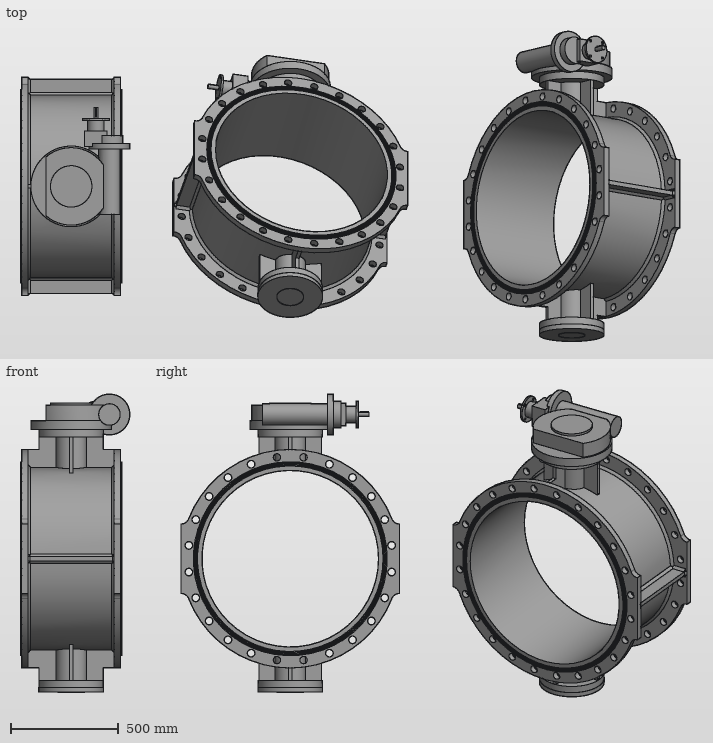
import cadquery as cq
import math


bore_dia = 819.0
barrel_wall = 15.0
barrel_radius = bore_dia / 2 + barrel_wall
weld_leg = 12.0

flange_radius = 507.5
flange_outer_x = 230.0
flange_thickness = 30.0
flange_inner_x = flange_outer_x - flange_thickness
ear_half_height = 162.0
ear_notch_radius = 35.0
bolt_count = 24
bolt_hole_dia = 34.0
bolt_circle_radius = 475.0

face_height = 5.0
face_dia = 901.0
groove_count = 2
groove_width = 4.9
groove_pitch = 2 * groove_width
groove_depth = 2.0

side_rib_thickness = 20.0
side_rib_radius = 498.5
rib_edge_weld = 8.0

trunnion_dia = 144.0
trunnion_length = 566.0
cross_rib_thickness = 17.0
cross_rib_half_width_x = 150.0
cross_rib_half_width_y = 146.0
cross_rib_root = 398.0
mount_dia = 300.0

bottom_mount_z = -598.0
bottom_cover_z = -620.0
bottom_z = -622.42
cover_dia = 302.0
end_plate_dia = 125.0

top_mount_z = 600.0
gear_base_dia = 375.0
gear_base_top = 641.0
gear_body_radius = 180.0
gear_body_left = -117.0
gear_body_right = 150.7
gear_body_top = 713.0
gear_cap_dia = 192.5
gear_cap_top = 724.0

worm_x = 177.8
worm_z = 670.0
worm_dia = 100.0
worm_start_y = -130.0
worm_disc_dia = 190.0
worm_disc_start_y = 173.0
worm_disc_end_y = 200.0
worm_end_boss_dia = 125.0
worm_end_boss_y = 236.0

input_x = 115.0
input_box_size = 105.0
input_box_start_y = 186.0
input_box_end_y = 258.0
input_neck_dia = 77.0
input_flange_dia = 125.0
input_flange_start_y = 306.5
input_flange_end_y = 316.0
input_bolt_dia = 10.5
input_bolt_circle_dia = 102.0
input_bolt_count = 4
shaft_dia = 20.0
shaft_end_y = 366.0
key_width = 6.0
key_start_y = 323.0
key_end_y = 364.0
key_top_height = 13.0


def box_between(x_range, y_range, z_range):
    lows, highs = zip(x_range, y_range, z_range)
    sizes = [high - low for low, high in zip(lows, highs)]
    return cq.Workplane("XY").box(*sizes, centered=False).translate(lows)


def cylinder_x(radius, start_x, end_x):
    return cq.Workplane("YZ", origin=(start_x, 0, 0)).circle(radius).extrude(end_x - start_x)


def cylinder_y(x, z, diameter, start_y, end_y):
    plane = cq.Workplane("XZ", origin=(x, start_y, z))
    return plane.circle(diameter / 2).extrude(start_y - end_y)


def cylinder_z(diameter, start_z, end_z):
    return cq.Workplane("XY", origin=(0, 0, start_z)).circle(diameter / 2).extrude(end_z - start_z)


def make_barrel():
    """Barrel with a conical weld bead against each flange, turned about X."""
    bead_start = flange_inner_x - weld_leg
    bead_radius = barrel_radius + weld_leg
    profile = [
        (-flange_inner_x, 0),
        (-flange_inner_x, bead_radius),
        (-bead_start, barrel_radius),
        (bead_start, barrel_radius),
        (flange_inner_x, bead_radius),
        (flange_inner_x, 0),
    ]
    return cq.Workplane("XY").polyline(profile).close().revolve(360, (0, 0, 0), (1, 0, 0))


def make_flange():
    """Right-hand flange: round plate with flat-sided ears, raised face and bolt holes."""
    plate = cylinder_x(flange_radius, flange_inner_x, flange_outer_x)

    notch_z = ear_half_height + ear_notch_radius
    notch_reach = flange_radius + ear_notch_radius
    notch_y = math.sqrt(notch_reach**2 - notch_z**2)
    ear_top = flange_radius * notch_z / notch_reach
    ears = box_between(
        (flange_inner_x, flange_outer_x), (-flange_radius, flange_radius), (-ear_top, ear_top)
    )
    notch_centers = [(y, z) for y in (-notch_y, notch_y) for z in (-notch_z, notch_z)]
    notches = (
        cq.Workplane("YZ", origin=(flange_inner_x, 0, 0))
        .pushPoints(notch_centers)
        .circle(ear_notch_radius)
        .extrude(flange_thickness)
    )
    plate = plate.union(ears.cut(notches))

    face_x = flange_outer_x + face_height
    plate = plate.union(cylinder_x(face_dia / 2, flange_outer_x, face_x))
    for index in range(groove_count):
        outer_radius = face_dia / 2 - groove_width - index * groove_pitch
        groove = (
            cq.Workplane("YZ", origin=(face_x - groove_depth, 0, 0))
            .circle(outer_radius)
            .circle(outer_radius - groove_width)
            .extrude(groove_depth)
        )
        plate = plate.cut(groove)

    half_step = 180.0 / bolt_count
    holes = (
        cq.Workplane("YZ", origin=(flange_inner_x, 0, 0))
        .polarArray(bolt_circle_radius, half_step, 360, bolt_count)
        .circle(bolt_hole_dia / 2)
        .extrude(flange_thickness)
    )
    return plate.cut(holes)


def make_side_rib():
    """Rib on the +Y side with weld beads along the barrel and both flanges."""
    half = side_rib_thickness / 2
    base_y = barrel_radius - weld_leg
    bead_y = barrel_radius + weld_leg
    section = [
        (base_y, -half - weld_leg),
        (barrel_radius, -half - weld_leg),
        (bead_y, -half),
        (side_rib_radius, -half),
        (side_rib_radius, half),
        (bead_y, half),
        (barrel_radius, half + weld_leg),
        (base_y, half + weld_leg),
    ]
    rib = cq.Workplane("YZ", origin=(-flange_inner_x, 0, 0)).polyline(section).close()
    rib = rib.extrude(2 * flange_inner_x)
    for side in (-1, 1):
        flange_x = side * flange_inner_x
        face_bead = [
            (flange_x, -half - weld_leg),
            (flange_x - side * weld_leg, -half),
            (flange_x - side * weld_leg, half),
            (flange_x, half + weld_leg),
        ]
        bead = cq.Workplane("XZ", origin=(0, base_y, 0)).polyline(face_bead).close()
        rib = rib.union(bead.extrude(base_y - side_rib_radius))
        edge_bead = [
            (flange_x, side_rib_radius),
            (flange_x - side * rib_edge_weld, side_rib_radius),
            (flange_x, side_rib_radius + rib_edge_weld),
        ]
        bead = cq.Workplane("XY", origin=(0, 0, -half)).polyline(edge_bead).close()
        rib = rib.union(bead.extrude(side_rib_thickness))
    return rib


def make_trunnion():
    """Upper stem trunnion with one rib across the barrel and one along it."""
    half = cross_rib_thickness / 2
    width_x = (-cross_rib_half_width_x, cross_rib_half_width_x)
    width_y = (-cross_rib_half_width_y, cross_rib_half_width_y)
    height = (cross_rib_root, trunnion_length)
    trunnion = cylinder_z(trunnion_dia, cross_rib_root, trunnion_length)
    trunnion = trunnion.union(box_between((-half, half), width_y, height))
    trunnion = trunnion.union(box_between(width_x, (-half, half), height))
    foot = box_between(
        (-flange_inner_x, flange_inner_x), (-half, half), (cross_rib_root, flange_radius)
    )
    return trunnion.union(foot)


def make_bottom_cover():
    cover = cylinder_z(mount_dia, bottom_mount_z, -trunnion_length)
    cover = cover.union(cylinder_z(cover_dia, bottom_cover_z, bottom_mount_z))
    return cover.union(cylinder_z(end_plate_dia, bottom_z, bottom_cover_z))


def make_gearbox():
    """Mounting flange, round base, flat-sided body and round cap."""
    gearbox = cylinder_z(mount_dia, trunnion_length, top_mount_z)
    gearbox = gearbox.union(cylinder_z(gear_base_dia, top_mount_z, gear_base_top))
    body = cylinder_z(2 * gear_body_radius, gear_base_top, gear_body_top)
    flats = box_between(
        (gear_body_left, gear_body_right),
        (-gear_body_radius, gear_body_radius),
        (gear_base_top, gear_body_top),
    )
    gearbox = gearbox.union(body.intersect(flats))
    return gearbox.union(cylinder_z(gear_cap_dia, gear_body_top, gear_cap_top))


def make_worm_housing():
    housing = cylinder_y(worm_x, worm_z, worm_dia, worm_start_y, worm_disc_start_y)
    disc = cylinder_y(worm_x, worm_z, worm_disc_dia, worm_disc_start_y, worm_disc_end_y)
    boss = cylinder_y(worm_x, worm_z, worm_end_boss_dia, worm_disc_end_y, worm_end_boss_y)
    return housing.union(disc).union(boss)


def make_input_drive():
    """Input box, neck, actuator flange with bolt holes, and shaft with its key."""
    half_box = input_box_size / 2
    drive = box_between(
        (input_x - half_box, input_x + half_box),
        (input_box_start_y, input_box_end_y),
        (worm_z - half_box, worm_z + half_box),
    )
    drive = drive.union(
        cylinder_y(input_x, worm_z, input_neck_dia, input_box_end_y, input_flange_start_y)
    )
    flange = cylinder_y(
        input_x, worm_z, input_flange_dia, input_flange_start_y, input_flange_end_y
    )
    bolt_holes = (
        cq.Workplane("XZ", origin=(input_x, input_flange_start_y, worm_z))
        .polarArray(input_bolt_circle_dia / 2, 180.0 / input_bolt_count, 360, input_bolt_count)
        .circle(input_bolt_dia / 2)
        .extrude(input_flange_start_y - input_flange_end_y)
    )
    drive = drive.union(flange.cut(bolt_holes))
    drive = drive.union(cylinder_y(input_x, worm_z, shaft_dia, input_flange_end_y, shaft_end_y))
    key = box_between(
        (input_x - key_width / 2, input_x + key_width / 2),
        (key_start_y, key_end_y),
        (worm_z, worm_z + key_top_height),
    )
    return drive.union(key)


right_flange = make_flange()
side_rib = make_side_rib()
trunnion = make_trunnion()

body = make_barrel()
body = body.union(right_flange).union(right_flange.mirror("YZ"))
body = body.union(side_rib).union(side_rib.mirror("XZ"))
body = body.union(trunnion).union(trunnion.mirror("XY"))

face_to_face = flange_outer_x + face_height
body = body.cut(cylinder_x(bore_dia / 2, -face_to_face, face_to_face))

result = (
    body.union(make_bottom_cover())
    .union(make_gearbox())
    .union(make_worm_housing())
    .union(make_input_drive())
)